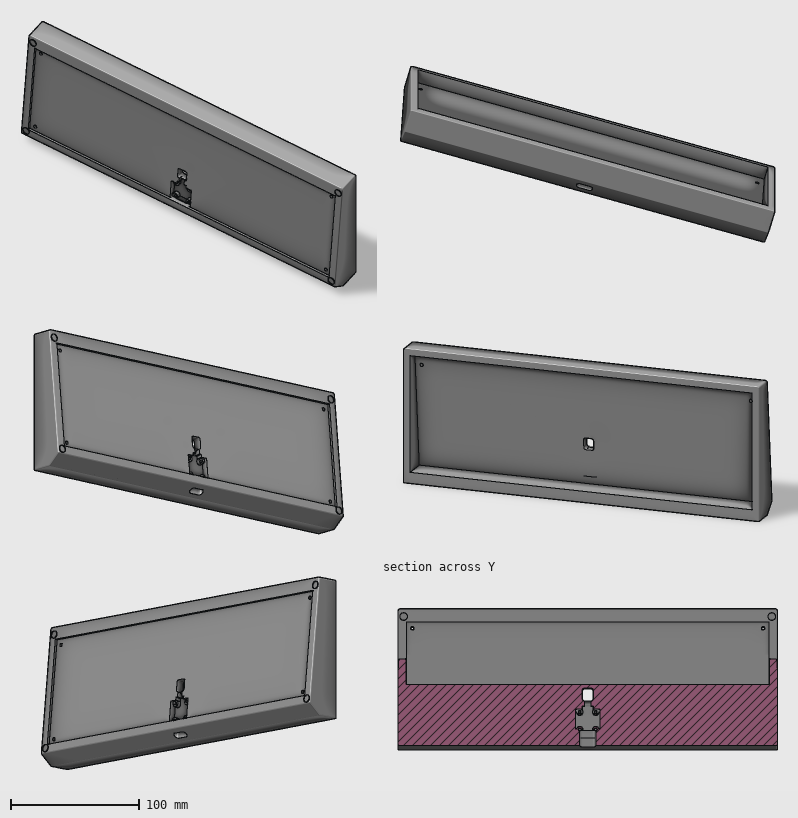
import cadquery as cq
import math

length = 295.7
depth = 29.5
height = 110.3
tilt = 6.0
crease_height = 8.5
bevel_start = 18.5
crease_overhang = 0.05

corner_radius = 2.0
edge_radius = 1.0

wall = 6.0
cavity_bottom = 9.5
cavity_top = 104.7
floor_thickness = 9.2

recess_length = 282.7
recess_bottom = 6.8
recess_top = 92.0
recess_depth = 2.0

foot_diameter = 6.0
foot_depth = 0.5
foot_spacing = 286.8
foot_heights = (4.0, 96.0)
screw_diameter = 2.55
screw_spacing = 273.2
screw_low = 11.0
screw_high = 87.2
blind_screw_depth = 4.5

pocket_width = 19.0
pocket_top = 24.0
pocket_depth = 5.3
pocket_radius = 1.0
tab_width = 8.3
tab_top = 26.3
post_diameter = 5.0
post_height = 3.0
post_hole_diameter = 2.0
post_spacing = 12.5
post_heights = (8.3, 22.0)

channel_width = 4.7
window_width = 8.3
window_bottom = 30.5
window_top = 40.2
window_radius = 1.8

port_width = 12.7
port_thickness = 4.7
port_center_depth = 6.2
port_length = 17.7
port_overlap = 1.0

front = -(depth + crease_overhang)
rad = math.radians(tilt)
top_depth = -front - (height - crease_height) * math.tan(rad)
slope = cq.Plane(
    origin=(0, front, crease_height),
    xDir=(1, 0, 0),
    normal=(0, -math.cos(rad), math.sin(rad)),
)
along_normal = cq.selectors.ParallelDirSelector(slope.zDir)


def slope_at(below):
    """Workplane parallel to the sloped underside, sunk by the given distance."""
    return cq.Workplane(slope).workplane(offset=-below)


def slope_box(width, bottom, top, start, deep):
    """Block sunk into the underside from depth start by a further deep."""
    return (
        slope_at(start)
        .center(0, (bottom + top) / 2)
        .rect(width, top - bottom)
        .extrude(-deep)
    )


def pins(diameter, spacing, heights, start, deep):
    """Mirrored pairs of round pins sunk square to the underside."""
    points = [(side * spacing / 2, v) for v in heights for side in (-1, 1)]
    return slope_at(start).pushPoints(points).circle(diameter / 2).extrude(-deep)


def make_body():
    """Solid wedge with rounded outer edges."""
    body = (
        cq.Workplane("YZ")
        .polyline([
            (0, 0),
            (-bevel_start, 0),
            (front, crease_height),
            (-top_depth, height),
            (0, height),
        ])
        .close()
        .extrude(length / 2, both=True)
    )
    body = body.faces(">Z").edges("|Y").fillet(corner_radius)
    bevel = body.faces(cq.selectors.DirectionMinMaxSelector(cq.Vector(0, -1, -1), True))
    outer_faces = body.faces("<Y or >Y or <Z").add(bevel)
    return outer_faces.edges().fillet(edge_radius)


def make_cavity():
    """Back opening that ends at a floor parallel to the sloped underside."""
    block = cq.Workplane("XY").box(
        length - 2 * wall, 2 * depth, cavity_top - cavity_bottom
    ).translate((0, 0, (cavity_bottom + cavity_top) / 2))
    floor = slope_box(2 * length, -height, 2 * height, -depth, depth + floor_thickness)
    return block.cut(floor)


def make_pocket():
    """Connector-board pocket, leaving posts with blind holes in its corners."""
    pocket = slope_box(pocket_width, recess_bottom, pocket_top, recess_depth, pocket_depth)
    pocket = pocket.edges(along_normal).fillet(pocket_radius)
    pocket = pocket.union(slope_box(tab_width, recess_bottom, tab_top, recess_depth, pocket_depth))
    post_start = recess_depth + pocket_depth - post_height
    posts = pins(post_diameter, post_spacing, post_heights, post_start, post_height)
    corners = (
        slope_at(post_start)
        .pushPoints([
            (side * pocket_width / 2, v)
            for v in (recess_bottom, pocket_top)
            for side in (-1, 1)
        ])
        .rect(pocket_width - post_spacing, 2 * (pocket_top - post_heights[1]))
        .extrude(-post_height)
    )
    posts = posts.union(corners)
    holes = pins(post_hole_diameter, post_spacing, post_heights, post_start, post_height)
    return pocket.cut(posts).union(holes)


def make_window():
    """Cable window from the recess through to the cavity."""
    window = slope_box(window_width, window_bottom, window_top, 0, depth / 2)
    return window.edges(along_normal).fillet(window_radius)


def make_channel():
    """Cable groove whose floor curves up from the pocket floor towards the window."""
    pocket_floor = -(recess_depth + pocket_depth)
    ramp_radius = window_bottom - tab_top
    side = cq.Plane(origin=slope.origin, xDir=slope.yDir, normal=slope.xDir)
    return (
        cq.Workplane(side)
        .moveTo(tab_top, 0)
        .lineTo(tab_top, pocket_floor)
        .radiusArc((window_bottom, pocket_floor + ramp_radius), -ramp_radius)
        .lineTo(window_bottom, 0)
        .close()
        .extrude(channel_width / 2, both=True)
    )


def make_port():
    """Slot-shaped opening from the bevel into the pocket, parallel to the underside."""
    section = cq.Plane(
        origin=slope.toWorldCoords((0, recess_bottom + port_overlap, -port_center_depth)).toTuple(),
        xDir=(1, 0, 0),
        normal=slope.yDir.toTuple(),
    )
    return cq.Workplane(section).slot2D(port_width, port_thickness).extrude(-port_length)


result = make_body()
result = result.cut(make_cavity())
result = result.cut(slope_box(recess_length, recess_bottom, recess_top, 0, recess_depth))
result = result.cut(pins(foot_diameter, foot_spacing, foot_heights, 0, foot_depth))
result = result.cut(pins(screw_diameter, screw_spacing, (screw_high,), 0, depth / 2))
result = result.cut(pins(screw_diameter, screw_spacing, (screw_low,), 0, blind_screw_depth))
result = result.cut(make_pocket())
result = result.cut(make_window())
result = result.cut(make_channel())
result = result.cut(make_port())
result = cq.Workplane(result.solids().val())